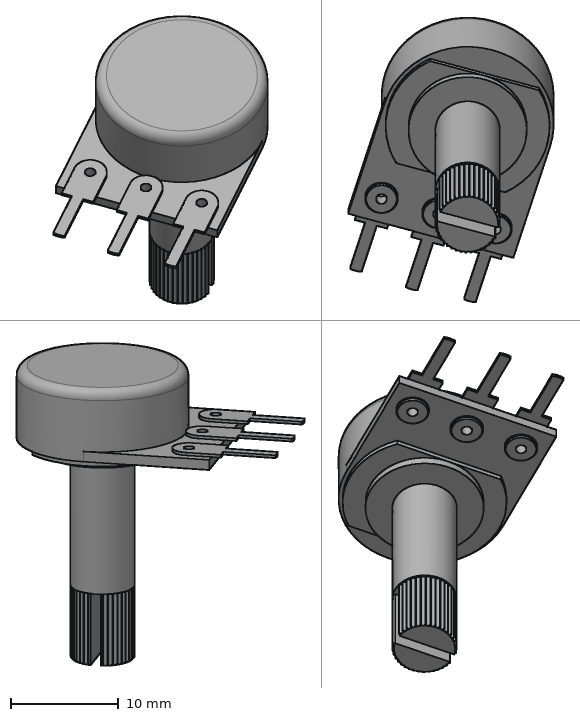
import cadquery as cq
import math


overall_depth = 26.25
overall_height = 28.3

body_diameter = 16.0
body_radius = body_diameter / 2
body_height = 7.0
body_round = 1.0

board_length = 12.0
board_thickness = 1.0

flange_radius = 7.6
flange_thickness = 0.5
bushing_radius = 5.5
bushing_thickness = 0.8

shaft_radius = 3.0
knurl_length = 7.0
shaft_bottom = body_height - overall_height
knurl_top = shaft_bottom + knurl_length
flute_count = 40
flute_depth = 0.185
crest_width = 0.08
shaft_chamfer = 0.17
slot_width = 1.0

terminal_pitch = 5.52
terminal_y = -9.5
terminal_thickness = 0.28
pad_width = 3.1
leg_width = 1.13
tip_bulge = 0.07
hole_diameter = 1.0
outer_shoulder_y = -12.9
outer_tip_y = -17.9
middle_shoulder_y = -13.1
middle_tip_y = body_radius - overall_depth

rivet_radius = 1.53
rivet_height = 0.35
rivet_taper_height = 0.17
rivet_taper_inset = 0.1


def cylinder(radius, bottom, top):
    return cq.Workplane("XY").workplane(offset=bottom).circle(radius).extrude(top - bottom)


def make_body():
    """Round can with a rolled upper edge, joined to the flat terminal board."""
    can = cylinder(body_radius, 0, body_height).faces(">Z").edges().fillet(body_round)
    board = cq.Workplane("XY").box(
        2 * body_radius, board_length, board_thickness, centered=(True, False, False)
    )
    return can.union(board.translate((0, -board_length, 0)))


def make_bushing():
    flange_bottom = -flange_thickness
    flange = cylinder(flange_radius, flange_bottom, 0)
    flats = cq.Workplane("XY").box(2 * flange_radius, 2 * bushing_radius, 2 * flange_thickness)
    bushing = cylinder(bushing_radius, flange_bottom - bushing_thickness, 0)
    return flange.intersect(flats).union(bushing)


def make_knurl():
    """Fluted shaft end: concave arcs between narrow crests lying on the shaft radius."""
    pitch_angle = 2 * math.pi / flute_count
    crest_angle = crest_width / shaft_radius
    half_flute_angle = (pitch_angle - crest_angle) / 2

    def polar(radius, angle):
        return (radius * math.cos(angle), radius * math.sin(angle))

    outline = cq.Workplane("XY").workplane(offset=shaft_bottom)
    outline = outline.moveTo(*polar(shaft_radius, -half_flute_angle))
    for flute in range(flute_count):
        angle = flute * pitch_angle
        valley = polar(shaft_radius - flute_depth, angle)
        flute_end = polar(shaft_radius, angle + half_flute_angle)
        crest_middle = polar(shaft_radius, angle + pitch_angle / 2)
        crest_end = polar(shaft_radius, angle + pitch_angle - half_flute_angle)
        outline = outline.threePointArc(valley, flute_end)
        outline = outline.threePointArc(crest_middle, crest_end)
    fluted = outline.close().extrude(knurl_length)

    chamfered = cylinder(shaft_radius, shaft_bottom, knurl_top).faces("<Z").chamfer(shaft_chamfer)
    slot = cq.Workplane("XY").box(
        2 * shaft_radius, slot_width, knurl_length, centered=(True, True, False)
    )
    return fluted.intersect(chamfered).cut(slot.translate((0, 0, shaft_bottom)))


def make_terminal(x, shoulder_y, tip_y):
    """Round-ended pad with a narrower leg whose tip is a shallow arc."""
    half_pad = pad_width / 2
    half_leg = leg_width / 2
    leg_corner_y = tip_y + tip_bulge
    terminal = (
        cq.Workplane("XY")
        .moveTo(-half_pad, terminal_y)
        .lineTo(-half_pad, shoulder_y)
        .lineTo(-half_leg, shoulder_y)
        .lineTo(-half_leg, leg_corner_y)
        .threePointArc((0, tip_y), (half_leg, leg_corner_y))
        .lineTo(half_leg, shoulder_y)
        .lineTo(half_pad, shoulder_y)
        .lineTo(half_pad, terminal_y)
        .threePointArc((0, terminal_y + half_pad), (-half_pad, terminal_y))
        .close()
        .extrude(terminal_thickness)
    )
    return terminal.translate((x, 0, board_thickness))


def make_rivet(x):
    head = cylinder(rivet_radius, -rivet_height, 0)
    head = head.faces("<Z").edges().chamfer(rivet_taper_height, rivet_taper_inset)
    return head.translate((x, terminal_y, 0))


shaft = cylinder(shaft_radius, knurl_top, 0)
result = make_body().union(make_bushing()).union(shaft).union(make_knurl())

terminals = (
    (-terminal_pitch, outer_shoulder_y, outer_tip_y),
    (0, middle_shoulder_y, middle_tip_y),
    (terminal_pitch, outer_shoulder_y, outer_tip_y),
)
for x, shoulder_y, tip_y in terminals:
    result = result.union(make_terminal(x, shoulder_y, tip_y)).union(make_rivet(x))

for x, _, _ in terminals:
    hole = cylinder(hole_diameter / 2, -rivet_height, board_thickness + terminal_thickness)
    result = result.cut(hole.translate((x, terminal_y, 0)))